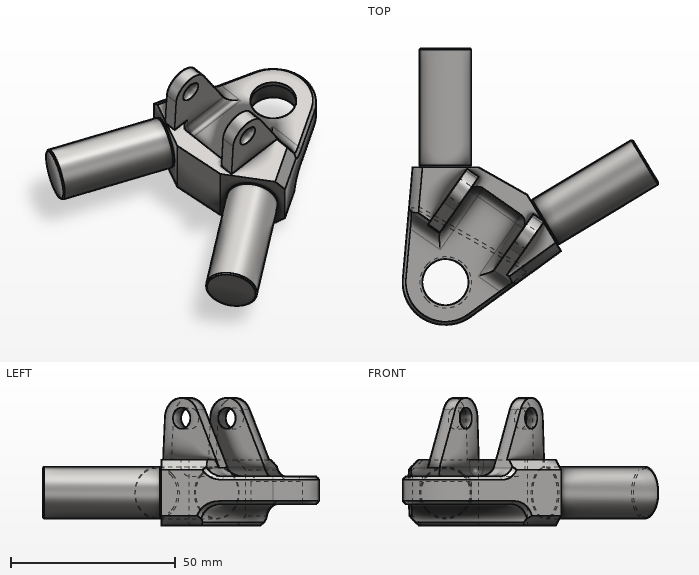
import cadquery as cq
import math

second_tube_angle = 31.0
body_angle = (90 + second_tube_angle) / 2
clevis_angle = 55.0
eye_radius = 13.0
eye_hole_radius = 7.0
eye_lip_depth = 1.5
eye_bore_radius = 7.8
body_half_size = 10.0
shoulder_distance = 34.95
side_chamfer = 3.0

tube_radius = 7.9
tube_end_distance = 71.0
tube_end_chamfer = 0.4
neck_radius = 7.7
neck_length = 0.5

flange_top = 4.95
flange_bottom = -3.5
flange_chamfer = 1.0
lower_step = 14.95
lower_step_chamfer = 1.0

pocket_half_width = 10.0
pocket_end = 29.9
pocket_fillet = 2.9
pocket_corner_radius = 3.0

left_lug_thickness = 4.4
right_lug_thickness = 4.0
left_lug_setback = 0.25
lug_foot = 12.5
lug_heel = 32.25
lug_hole_distance = 25.4
lug_hole_height = 22.6
lug_hole_radius = 3.2
lug_round_radius = 6.2
step_fillet_length = 2.9

reach = 50.4


def polar(radius, angle):
    return (radius * math.cos(math.radians(angle)), radius * math.sin(math.radians(angle)))


def shoulder_corner(tube_angle, side):
    """Corner of a tube shoulder; side is +1 for its left end and -1 for its right end."""
    ahead = polar(shoulder_distance, tube_angle)
    across = polar(side * body_half_size, tube_angle + 90)
    return (ahead[0] + across[0], ahead[1] + across[1])


def side_profile(angle):
    """Vertical plane through the eye axis: x runs along the angle and y runs up."""
    across = polar(1, angle - 90)
    return cq.Workplane(cq.Plane((0, 0, 0), polar(1, angle) + (0,), across + (0,)))


corner_distance = math.hypot(shoulder_distance, body_half_size)
corner_angle = 90 + math.degrees(math.atan2(body_half_size, shoulder_distance)) - body_angle
tangent_angle = corner_angle + math.degrees(math.acos(eye_radius / corner_distance))

body = (
    cq.Workplane("XY", origin=(0, 0, -body_half_size))
    .moveTo(*polar(eye_radius, body_angle + tangent_angle))
    .lineTo(*shoulder_corner(90, 1))
    .lineTo(*shoulder_corner(90, -1))
    .lineTo(*shoulder_corner(second_tube_angle, 1))
    .lineTo(*shoulder_corner(second_tube_angle, -1))
    .lineTo(*polar(eye_radius, body_angle - tangent_angle))
    .threePointArc(polar(eye_radius, body_angle + 180), polar(eye_radius, body_angle + tangent_angle))
    .close()
    .extrude(2 * body_half_size)
)

body = body.faces("<Z or >Z").edges("%CIRCLE").chamfer(side_chamfer)

foot_run = lug_hole_distance - lug_foot
foot_rise = lug_hole_height - body_half_size
lug_slope = math.atan2(foot_rise, foot_run) + math.asin(lug_round_radius / math.hypot(foot_run, foot_rise))
step_root = lug_foot - (body_half_size - flange_top) / math.tan(lug_slope)
fillet_start = (step_root - step_fillet_length, flange_top)
fillet_end = (
    step_root + step_fillet_length * math.cos(lug_slope),
    flange_top + step_fillet_length * math.sin(lug_slope),
)
upper_cut = (
    side_profile(clevis_angle)
    .moveTo(-reach, flange_top)
    .lineTo(*fillet_start)
    .tangentArcPoint(fillet_end, relative=False)
    .lineTo(lug_foot, body_half_size)
    .lineTo(lug_foot, reach)
    .lineTo(-reach, reach)
    .close()
    .extrude(reach, both=True)
)
body = body.cut(upper_cut)

lower_fillet = body_half_size + flange_bottom - lower_step_chamfer
lower_cut = (
    side_profile(body_angle)
    .moveTo(-reach, flange_bottom)
    .lineTo(lower_step - lower_fillet, flange_bottom)
    .tangentArcPoint((lower_step, flange_bottom - lower_fillet), relative=False)
    .lineTo(lower_step + lower_step_chamfer, -body_half_size)
    .lineTo(lower_step + lower_step_chamfer, -reach)
    .lineTo(-reach, -reach)
    .close()
    .extrude(reach, both=True)
)
body = body.cut(lower_cut)

eye_rim = cq.selectors.BoxSelector((-reach, -reach, flange_bottom - 0.1), (reach, 0, flange_top + 0.1))
body = body.edges("%CIRCLE").edges(eye_rim).chamfer(flange_chamfer)

pocket = (
    cq.Workplane("XY", origin=(0, 0, flange_top))
    .rect(2 * pocket_end, 2 * pocket_half_width)
    .extrude(reach)
    .edges("|Z and >X")
    .fillet(pocket_corner_radius)
    .faces("<Z")
    .edges("not <X")
    .fillet(pocket_fillet)
    .rotate((0, 0, 0), (0, 0, 1), clevis_angle)
)
body = body.cut(pocket)


def lug(offset, thickness):
    """Tapered round-topped lug with a cross hole, its left-hand face at the given offset."""
    front_tangent = (
        lug_hole_distance - lug_round_radius * math.sin(lug_slope),
        lug_hole_height + lug_round_radius * math.cos(lug_slope),
    )
    heel_run = lug_heel - lug_hole_distance
    heel_angle = math.atan2(-foot_rise, heel_run)
    rear_angle = heel_angle + math.acos(lug_round_radius / math.hypot(heel_run, foot_rise))
    rear_tangent = (
        lug_hole_distance + lug_round_radius * math.cos(rear_angle),
        lug_hole_height + lug_round_radius * math.sin(rear_angle),
    )
    return (
        side_profile(clevis_angle)
        .workplane(offset=offset)
        .moveTo(*fillet_end)
        .lineTo(*front_tangent)
        .threePointArc((lug_hole_distance, lug_hole_height + lug_round_radius), rear_tangent)
        .lineTo(lug_heel, body_half_size)
        .lineTo(lug_heel, fillet_end[1])
        .close()
        .moveTo(lug_hole_distance, lug_hole_height)
        .circle(lug_hole_radius)
        .extrude(thickness)
    )


def tube(angle):
    """Round tube stub with a shallow neck at the shoulder and a small end chamfer."""
    plane = cq.Plane((0, 0, 0), (0, 0, 1), polar(1, angle) + (0,))
    neck_end = shoulder_distance + neck_length
    stub = (
        cq.Workplane(plane)
        .workplane(offset=neck_end)
        .circle(tube_radius)
        .extrude(tube_end_distance - neck_end)
        .faces(cq.selectors.DirectionMinMaxSelector(plane.zDir, True))
        .edges()
        .chamfer(tube_end_chamfer)
    )
    neck_start = shoulder_distance / 2 + pocket_end / 2
    neck = cq.Workplane(plane).workplane(offset=neck_start).circle(neck_radius).extrude(neck_end - neck_start)
    return stub.union(neck)


left_lug = lug(-pocket_half_width - left_lug_thickness, left_lug_thickness)
right_lug = lug(pocket_half_width, right_lug_thickness)
setback = polar(-left_lug_setback, clevis_angle)

eye_hole = cq.Workplane("XY").circle(eye_hole_radius).extrude(reach, both=True)
lip_bottom = flange_top - eye_lip_depth
eye_bore = cq.Workplane("XY", origin=(0, 0, lip_bottom)).circle(eye_bore_radius).extrude(-reach)

result = body.cut(eye_hole).cut(eye_bore)
result = result.union(left_lug.translate(setback + (0,))).union(right_lug)
for tube_angle in (90, second_tube_angle):
    result = result.union(tube(tube_angle))